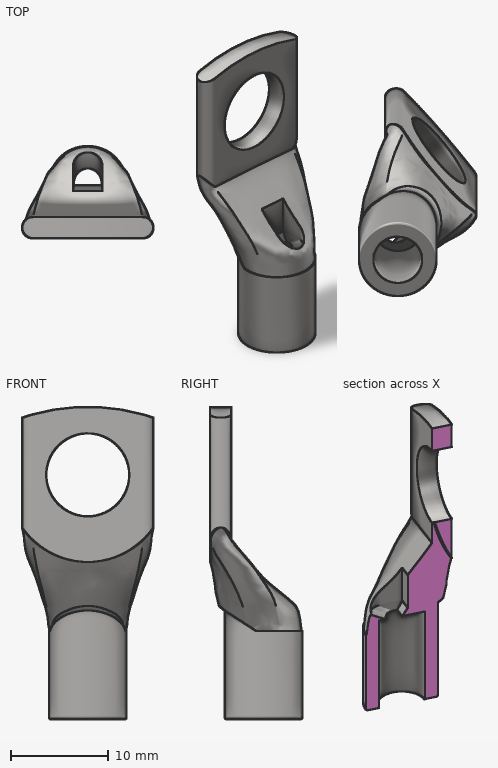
import cadquery as cq
import math


TUBE_DIAMETER = 8.0
BORE_DIAMETER = 5.0
BORE_END_Z = 10.4
TUBE_EDGE_FILLET = 0.25
NECK_START_Z = 9.05

PALM_WIDTH = 13.5
PALM_THICKNESS = 2.2
PALM_FRONT_Y = -5.5
TOTAL_HEIGHT = 32.1
TIP_ARC_RISE = 1.13
HOLE_DIAMETER = 8.5
HOLE_TO_TIP = 7.0
PALM_ROOT_Z = 16.15
PALM_ROOT_RADIUS = 8.2

PALM_BACK_Y = PALM_FRONT_Y + PALM_THICKNESS
PALM_MID_Y = (PALM_FRONT_Y + PALM_BACK_Y) / 2
PALM_FLAT_HALF_WIDTH = (PALM_WIDTH - PALM_THICKNESS) / 2
PALM_ROOT_RISE = PALM_ROOT_RADIUS - math.sqrt(PALM_ROOT_RADIUS**2 - (PALM_WIDTH / 2) ** 2)
NECK_END_Z = PALM_ROOT_Z + PALM_ROOT_RISE

PALM_ROOT_LEFT = (-PALM_WIDTH / 2, NECK_END_Z)
PALM_ROOT_RIGHT = (PALM_WIDTH / 2, NECK_END_Z)

NECK_TOP_BULGE = 0.5
NECK_OVERRUN = 1.5

NECK_INSET = 0.05

NECK_TOP_OUTLINE = (
    PALM_WIDTH / 2,
    PALM_MID_Y,
    PALM_FLAT_HALF_WIDTH,
    PALM_BACK_Y - NECK_INSET,
    PALM_BACK_Y - NECK_INSET / 2,
    PALM_FLAT_HALF_WIDTH,
    PALM_FRONT_Y + NECK_INSET,
    PALM_FRONT_Y - NECK_TOP_BULGE,
)
NECK_SECTIONS = [
    (NECK_START_Z, 3.93, 0.00, 3.60, 1.58, 3.92, 3.63, -1.55, -4.22),
    (10.6, 4.14, -0.10, 3.78, 1.50, 3.71, 3.95, -1.80, -4.47),
    (12.2, 4.57, -0.45, 4.15, 1.10, 2.85, 4.41, -2.35, -4.72),
    (13.8, 5.03, -0.95, 4.51, 0.23, 0.85, 4.80, -3.04, -5.04),
    (15.4, 5.54, -1.75, 4.92, -0.82, -0.78, 5.20, -3.95, -5.27),
    (17.0, 6.15, -2.90, 5.33, -2.13, -2.11, 5.50, -4.95, -5.74),
    (18.5, 6.55, PALM_MID_Y, *NECK_TOP_OUTLINE[2:]),
    (NECK_END_Z, *NECK_TOP_OUTLINE),
    (NECK_END_Z + NECK_OVERRUN, *NECK_TOP_OUTLINE),
]

RAMP_START = (-0.74, NECK_START_Z)
RAMP_AT_TUBE = (-TUBE_DIAMETER / 2, 11.17)
RAMP_END = (-4.66, 11.7)

SIGHT_RADIUS = 1.53
SIGHT_FLAT_Y = -0.63
SIGHT_APEX_Y = 3.34
SIGHT_TAPER_TOP_Z = 11.3
SIGHT_BOTTOM_RADIUS = 1.4
SIGHT_BOTTOM_FLAT_Y = -0.02
SIGHT_BOTTOM_APEX_Y = 1.68

CLEARANCE = 20.0


def make_tube():
    tube = cq.Workplane("XY").circle(TUBE_DIAMETER / 2).extrude(RAMP_END[1])
    tube = tube.faces("<Z").edges().fillet(TUBE_EDGE_FILLET)
    return tube.cut(ramp_region(TOTAL_HEIGHT))


def ramp_region(closing_z):
    """Region in the YZ plane between the bottom line of the neck and a given height."""
    return (
        cq.Workplane("YZ", origin=(-CLEARANCE / 2, 0, 0))
        .moveTo(CLEARANCE, NECK_START_Z)
        .lineTo(*RAMP_START)
        .lineTo(*RAMP_AT_TUBE)
        .lineTo(*RAMP_END)
        .lineTo(-CLEARANCE, RAMP_END[1])
        .lineTo(-CLEARANCE, closing_z)
        .lineTo(CLEARANCE, closing_z)
        .close()
        .extrude(CLEARANCE)
    )


def section_wire(z, half_width, side_y, back_x, back_y, back_mid_y, front_x, front_y, front_mid_y):
    """Closed outline of four arcs: back, right side, front and left side."""
    return (
        cq.Workplane("XY", origin=(0, 0, z))
        .moveTo(-back_x, back_y)
        .threePointArc((0, back_mid_y), (back_x, back_y))
        .threePointArc((half_width, side_y), (front_x, front_y))
        .threePointArc((0, front_mid_y), (-front_x, front_y))
        .threePointArc((-half_width, side_y), (-back_x, back_y))
        .close()
        .val()
    )


def make_neck():
    wires = [section_wire(*section) for section in NECK_SECTIONS]
    neck = cq.Workplane(cq.Solid.makeLoft(wires))
    overrun = cq.Workplane("XY", origin=(0, 0, NECK_END_Z)).rect(CLEARANCE, CLEARANCE).extrude(CLEARANCE)
    below_ramp = ramp_region(0)
    return neck.cut(below_ramp).cut(palm_space()).cut(overrun)


def palm_space():
    """Everything above the round root of the palm and in front of its back face."""
    return (
        cq.Workplane("XZ", origin=(0, PALM_BACK_Y, 0))
        .moveTo(*PALM_ROOT_LEFT)
        .threePointArc((0, PALM_ROOT_Z), PALM_ROOT_RIGHT)
        .lineTo(PALM_WIDTH, NECK_END_Z)
        .lineTo(PALM_WIDTH, TOTAL_HEIGHT)
        .lineTo(-PALM_WIDTH, TOTAL_HEIGHT)
        .lineTo(-PALM_WIDTH, NECK_END_Z)
        .close()
        .extrude(CLEARANCE)
    )


def make_palm():
    outline = (
        cq.Workplane("XZ", origin=(0, PALM_BACK_Y, 0))
        .moveTo(*PALM_ROOT_LEFT)
        .threePointArc((0, PALM_ROOT_Z), PALM_ROOT_RIGHT)
        .lineTo(PALM_WIDTH / 2, TOTAL_HEIGHT - TIP_ARC_RISE)
        .threePointArc((0, TOTAL_HEIGHT), (-PALM_WIDTH / 2, TOTAL_HEIGHT - TIP_ARC_RISE))
        .close()
        .extrude(PALM_THICKNESS)
    )
    rounded_bar = (
        cq.Workplane("XY", origin=(0, PALM_MID_Y, 0))
        .slot2D(PALM_WIDTH, PALM_THICKNESS)
        .extrude(TOTAL_HEIGHT)
    )
    return outline.intersect(rounded_bar)


def bolt_hole():
    return (
        cq.Workplane("XZ", origin=(0, PALM_BACK_Y, 0))
        .center(0, TOTAL_HEIGHT - HOLE_TO_TIP)
        .circle(HOLE_DIAMETER / 2)
        .extrude(PALM_THICKNESS)
    )


def sight_wire(z, radius, flat_y, apex_y):
    """Outline with one flat end and one full round end."""
    return (
        cq.Workplane("XY", origin=(0, 0, z))
        .moveTo(-radius, flat_y)
        .lineTo(radius, flat_y)
        .lineTo(radius, apex_y - radius)
        .threePointArc((0, apex_y), (-radius, apex_y - radius))
        .close()
        .val()
    )


def sight_opening():
    bottom = sight_wire(BORE_END_Z, SIGHT_BOTTOM_RADIUS, SIGHT_BOTTOM_FLAT_Y, SIGHT_BOTTOM_APEX_Y)
    middle = sight_wire(SIGHT_TAPER_TOP_Z, SIGHT_RADIUS, SIGHT_FLAT_Y, SIGHT_APEX_Y)
    top = sight_wire(TOTAL_HEIGHT, SIGHT_RADIUS, SIGHT_FLAT_Y, SIGHT_APEX_Y)
    return cq.Workplane(cq.Solid.makeLoft([bottom, middle, top], True))


def bore():
    return cq.Workplane("XY").circle(BORE_DIAMETER / 2).extrude(BORE_END_Z)


body = make_tube().union(make_neck()).union(make_palm())
result = body.cut(bolt_hole()).cut(bore()).cut(sight_opening())